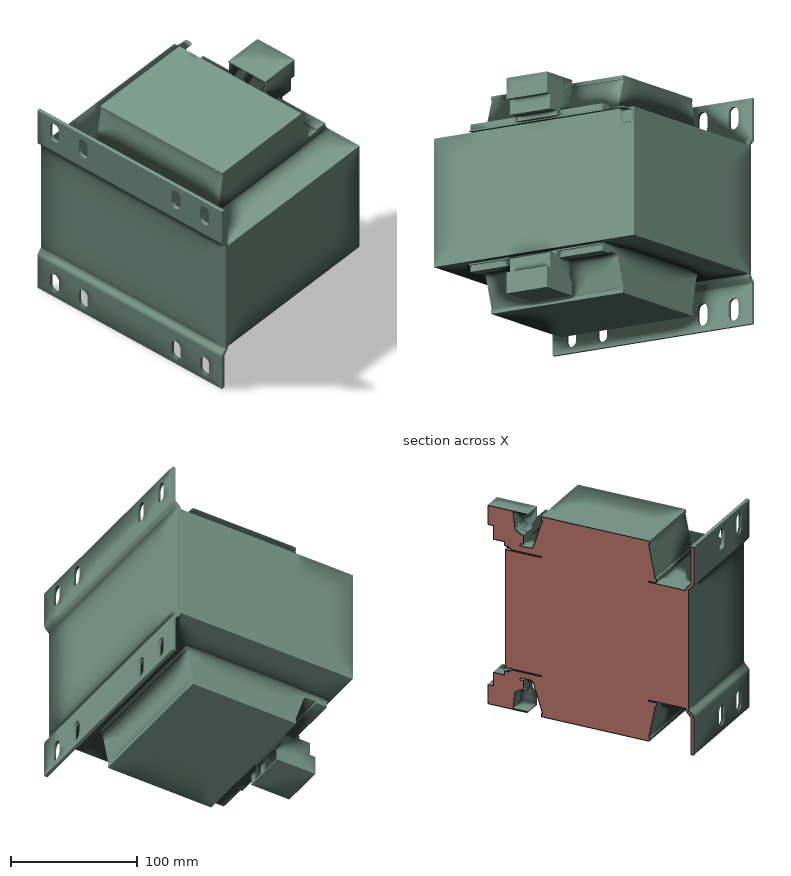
import cadquery as cq
import math

core_width = 192.0
core_depth = 160.0
core_height = 104.0
core_top = core_height / 2

plate_width = 191.2
plate_shift = (core_width - plate_width) / 2
plate_height = 183.0
plate_thickness = 2.9
flange_offset = 4.6
flange_start = 57.5
web_half_height = flange_start - flange_offset
bend_angle = 45
bend_inner_radius = 1.5
slot_width = 9.2
slot_length = 18.0
slot_height = 77.5
slot_offsets = (48.0, 77.8)

coil_width = 126.5
coil_top = 88.1
lid_front = 31.7
lid_back = 127.7
lid_thickness = 3.0
lid_overhang = 0.8
bobbin_front = 25.3
bobbin_back = 156.5
bobbin_toe = 158.4
bobbin_toe_bottom = 53.5
bobbin_toe_top = 54.5
bobbin_foot_front = 154.8
bobbin_gap = 0.5
bobbin_front_height = 56.3
bobbin_front_ledge = 1.3
bobbin_foot_back = 32.5
shelf_height = 58.2
shelf_step = 1.5
step_position = 146.3
coil_back_foot = 135.5
coil_fillet = 3.6

terminal_left = -22.8
terminal_right = 15.7
terminal_seam = -7.7
terminal_wall = 0.5
end_wall = 0.5
end_recess = 0.5
terminal_top = 87.4
terminal_back = 175.1
terminal_front = 139.5
terminal_neck_front = 143.6
terminal_neck_back = 170.3
terminal_bottom = 58.4
brow_height = 77.4
neck_front_height = 71.6
neck_back_height = 70.3
seat_height = 61.5
seat_inset = 0.5
hook_back = 160.9
hook_front = bobbin_back
hook_bottom = 55.0
top_wall = 1.2
entry_back = 152.6
entry_kink = (151.7, 77.8)
entry_floor_back = (151.0, 72.0)
entry_floor_middle = (147.3, 69.1)
entry_floor_end_height = 67.8
rib_position = 5.8
rib_width = 1.5
rib_height = 2.0
bar_length = 9.2
bar_thickness = 1.0
bar_angle = -39
bar_center_y = 147.6
bar_center_z = 80.8

tab_center = -90.2
tab_base_width = 8.6
tab_blade_width = 7.1
tab_thickness = 0.8
tab_top = 50.5
tab_bottom = 40.3
tab_shoulder = 163.4
tab_end = 171.3
tab_chamfer = 1.5


def box(x_range, y_range, z_range):
    """Box given by its limits along each axis."""
    sizes = [high - low for low, high in (x_range, y_range, z_range)]
    corner = (x_range[0], y_range[0], z_range[0])
    return cq.Workplane("XY").box(*sizes, centered=False).translate(corner)


def extrude_side(points, x_start, x_end):
    """Extrude a closed (Y, Z) outline from x_start to x_end."""
    outline = cq.Workplane("YZ", origin=(x_start, 0, 0)).polyline(points).close()
    return outline.extrude(x_end - x_start)


def make_core():
    return box((-core_width / 2, core_width / 2), (0, core_depth), (-core_top, core_top))


def make_plate():
    """Flat web with an upper and a lower flange, each set forward by a 45 degree jog."""
    half_height = plate_height / 2
    flange_front = -flange_offset - plate_thickness
    bend_shift = plate_thickness * math.tan(math.radians(bend_angle / 2))
    convex_back = (0, web_half_height + bend_shift)
    concave_back = (-flange_offset, flange_start + bend_shift)
    convex_front = (flange_front, flange_start)
    concave_front = (-plate_thickness, web_half_height)
    upper = [
        convex_back,
        concave_back,
        (-flange_offset, half_height),
        (flange_front, half_height),
        convex_front,
        concave_front,
    ]
    lower = [(y, -z) for y, z in reversed(upper)]
    plate_left = plate_shift - plate_width / 2
    plate = extrude_side(upper + lower, plate_left, plate_left + plate_width)

    bend_outer_radius = bend_inner_radius + plate_thickness
    bends = [
        (convex_back, bend_outer_radius),
        (concave_back, bend_inner_radius),
        (convex_front, bend_outer_radius),
        (concave_front, bend_inner_radius),
    ]
    for (y, z), radius in bends:
        for side in (-1, 1):
            bend_edge = cq.selectors.NearestToPointSelector((plate_shift, y, side * z))
            plate = plate.edges("|X").edges(bend_edge).fillet(radius)

    slot_centers = [
        (plate_shift + x_side * offset, z_side * slot_height)
        for offset in slot_offsets
        for x_side in (-1, 1)
        for z_side in (-1, 1)
    ]
    slots = (
        cq.Workplane("XZ")
        .pushPoints(slot_centers)
        .slot2D(slot_length, slot_width, 90)
        .extrude(2 * (flange_offset + plate_thickness))
    )
    return plate.cut(slots)


def make_coil():
    lid_bottom = coil_top - lid_thickness
    gap_height = core_top + bobbin_gap
    shelf_back_top = shelf_height + shelf_step
    points = [
        (bobbin_foot_back, core_top),
        (bobbin_foot_back, gap_height),
        (bobbin_front, gap_height),
        (bobbin_front, bobbin_front_height),
        (bobbin_front + bobbin_front_ledge, bobbin_front_height),
        (lid_front + lid_overhang, lid_bottom),
        (lid_front, lid_bottom),
        (lid_front, coil_top),
        (lid_back, coil_top),
        (lid_back, lid_bottom),
        (lid_back - lid_overhang, lid_bottom),
        (coil_back_foot, shelf_height),
        (step_position, shelf_height),
        (step_position, shelf_back_top),
        (bobbin_back, shelf_back_top),
        (bobbin_back, bobbin_toe_top),
        (bobbin_toe, bobbin_toe_top),
        (bobbin_toe, bobbin_toe_bottom),
        (bobbin_foot_front, bobbin_toe_bottom),
        (bobbin_foot_front, gap_height),
        (lid_back, gap_height),
        (lid_back, core_top),
    ]
    body = extrude_side(points, -coil_width / 2, coil_width / 2)
    root = cq.selectors.NearestToPointSelector((0, coil_back_foot, shelf_height))
    return body.edges("|X").edges(root).fillet(coil_fillet)


def make_terminal():
    shelf_top = shelf_height + shelf_step
    points = [
        (terminal_back, terminal_top),
        (terminal_front, terminal_top),
        (terminal_front, brow_height),
        (terminal_neck_front, neck_front_height),
        (terminal_neck_front, seat_height),
        (hook_front, seat_height),
        (hook_front, terminal_bottom),
        (terminal_neck_back, terminal_bottom),
        (terminal_neck_back, neck_back_height),
        (terminal_back, neck_back_height),
    ]
    block = extrude_side(points, terminal_left, terminal_right)

    entry_top = terminal_top - top_wall
    floor = [
        entry_floor_back,
        entry_floor_middle,
        (terminal_neck_front, entry_floor_end_height),
    ]
    entry = [
        (terminal_front, entry_top),
        (entry_back, entry_top),
        entry_kink,
        *floor,
        (terminal_front, entry_floor_end_height),
    ]
    entry_limits = [
        (terminal_left + end_recess + end_wall, terminal_seam - terminal_wall),
        (terminal_seam + terminal_wall, terminal_right - terminal_wall),
    ]
    for left, right in entry_limits:
        block = block.cut(extrude_side(entry, left, right))

    block = block.cut(extrude_side(entry, terminal_left, terminal_left + end_recess))

    bar = (
        cq.Workplane("XY")
        .box(end_recess, bar_length, bar_thickness)
        .rotate((0, 0, 0), (1, 0, 0), bar_angle)
        .translate((terminal_left + end_recess / 2, bar_center_y, bar_center_z))
    )

    rib_outline = floor + [(y, z + rib_height) for y, z in reversed(floor)]
    rib = extrude_side(rib_outline, rib_position - rib_width / 2, rib_position + rib_width / 2)

    seat = box(
        (terminal_left + seat_inset, terminal_right - seat_inset),
        (terminal_neck_front, hook_front),
        (shelf_top, seat_height),
    )
    hook = box(
        (terminal_left + seat_inset, terminal_right - seat_inset),
        (hook_front, hook_back),
        (hook_bottom, terminal_bottom),
    )
    return block.union(bar).union(rib).union(seat).union(hook)


def make_earth_tab():
    half_base = tab_base_width / 2
    half_blade = tab_blade_width / 2
    shoulder = half_base - half_blade
    right_edge = [
        (half_base, core_depth),
        (half_base, tab_shoulder - shoulder),
        (half_blade, tab_shoulder),
        (half_blade, tab_end - tab_chamfer),
        (half_blade - tab_chamfer, tab_end),
    ]
    left_edge = [(-x, y) for x, y in reversed(right_edge)]
    blade = (
        cq.Workplane("XY", origin=(tab_center, 0, tab_top - tab_thickness))
        .polyline(right_edge + left_edge)
        .close()
        .extrude(tab_thickness)
    )
    foot = box(
        (tab_center - half_base, tab_center + half_base),
        (core_depth, core_depth + tab_thickness),
        (tab_bottom, tab_top),
    )
    return blade.union(foot)


upper_half = make_coil().union(make_terminal())
lower_half = upper_half.mirror("XY")

result = make_core().union(make_plate()).union(upper_half).union(lower_half).union(make_earth_tab())